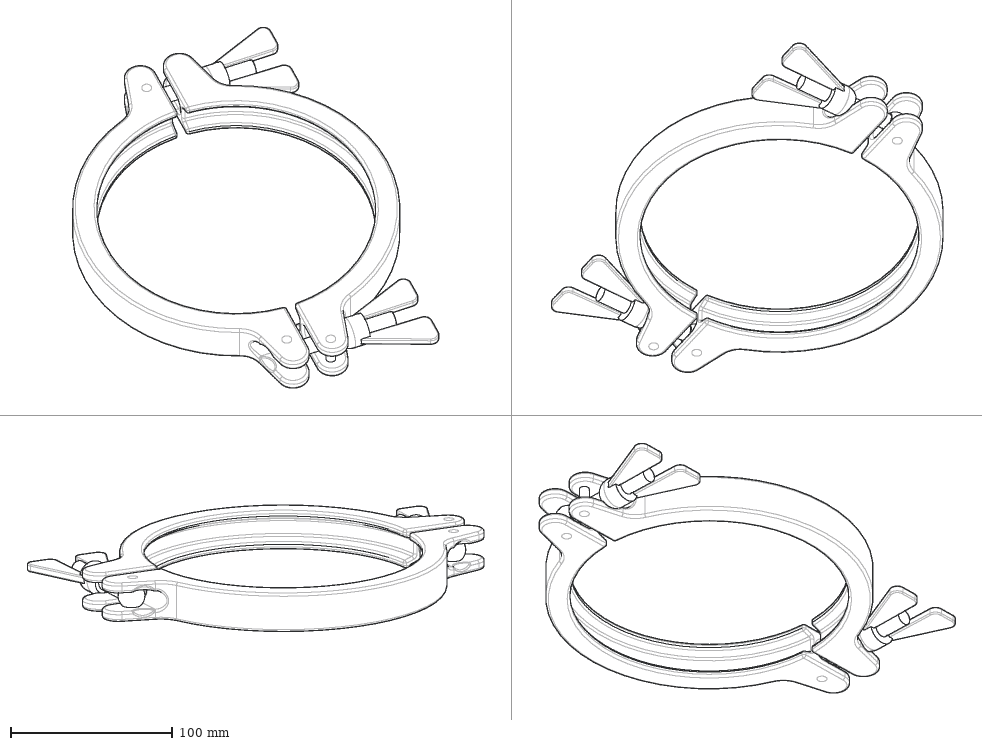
import cadquery as cq
import math

overall_width = 278.8

height = 24.8
outer_radius = 101.5
inner_radius = 86.5
gap = 6.0
edge_radius = 1.7

groove_depth = 7.3
groove_mouth = 16.0
groove_slope = math.radians(20)

lug_x = 122.5
lug_radius = 10.0
lug_slope = math.radians(15)
neck_radius = 15.0
slot_height = 12.0
slot_end_x = 98.0
seat_edge_radius = 1.0

bolt_x = 112.5
rod_radius = 5.0
rod_end_y = 58.5
ball_radius = 8.5
ball_y = -11.5
ball_flat_y = -5.3

nut_radius = 9.8
nut_nose_y = 22.5
nut_dome_y = 29.0
nut_top_y = 39.0
wing_thickness = 4.7
wing_top_y = 79.5
wing_root_y = 32.3
wing_root_x = 9.5
wing_inner_top_x = 6.7
wing_inner_root_x = 6.0
wing_corner_radius = 5.0
wing_edge_radius = 0.8
wing_reach = overall_width / 2 - bolt_x

pin_radius = 3.0
pin_length = 25.5
stop_pin_y = 12.3

end_y = gap / 2
lug_y = end_y + lug_radius
both_sides = (-1, 1)


def half_outline():
    """Outline of the half on the +Y side: C-shaped arc with a rounded lug at each end."""
    normal_x = math.sin(lug_slope)
    normal_y = math.cos(lug_slope)
    slope_offset = normal_x * lug_x + normal_y * lug_y + lug_radius

    across = slope_offset + neck_radius
    along = math.sqrt((outer_radius + neck_radius) ** 2 - across**2)
    neck_x = across * normal_x + along * normal_y
    neck_y = across * normal_y - along * normal_x

    ring_share = outer_radius / (outer_radius + neck_radius)
    ring_point = (neck_x * ring_share, neck_y * ring_share)
    neck_end = (neck_x - neck_radius * normal_x, neck_y - neck_radius * normal_y)
    middle_x = (ring_point[0] + neck_end[0]) / 2 - neck_x
    middle_y = (ring_point[1] + neck_end[1]) / 2 - neck_y
    middle_scale = neck_radius / math.hypot(middle_x, middle_y)
    neck_middle = (neck_x + middle_x * middle_scale, neck_y + middle_y * middle_scale)
    tip_start = (lug_x + lug_radius * normal_x, lug_y + lug_radius * normal_y)
    tip_middle = (lug_x + lug_radius, lug_y)
    bore_x = math.sqrt(inner_radius**2 - end_y**2)

    def left(point):
        return (-point[0], point[1])

    return (
        cq.Workplane("XY", origin=(0, 0, -height / 2))
        .moveTo(bore_x, end_y)
        .lineTo(lug_x, end_y)
        .threePointArc(tip_middle, tip_start)
        .lineTo(*neck_end)
        .threePointArc(neck_middle, ring_point)
        .threePointArc((0, outer_radius), left(ring_point))
        .threePointArc(left(neck_middle), left(neck_end))
        .lineTo(*left(tip_start))
        .threePointArc(left(tip_middle), (-lug_x, end_y))
        .lineTo(-bore_x, end_y)
        .threePointArc((0, inner_radius), (bore_x, end_y))
        .close()
    )


def groove_cutter():
    """Ring with sloping flanks that cuts the V groove into the bore."""
    floor_radius = inner_radius + groove_depth
    back = inner_radius - groove_depth
    flank_rise = groove_depth * math.tan(groove_slope)
    floor_half = groove_mouth / 2 - flank_rise
    back_half = groove_mouth / 2 + flank_rise
    ring = (
        cq.Workplane("XZ")
        .polyline([
            (back, -back_half),
            (floor_radius, -floor_half),
            (floor_radius, floor_half),
            (back, back_half),
        ])
        .close()
        .revolve(360, (0, 0), (0, 1))
    )
    return ring.edges(cq.selectors.RadiusNthSelector(-1)).fillet(edge_radius)


def slot_cutter(side):
    """Slot along Y, open at the lug's tip and round at its inner end."""
    round_x = slot_end_x + slot_height / 2
    outer_round_x = lug_x + lug_radius + slot_height
    return (
        cq.Workplane("XZ")
        .center(side * (round_x + outer_round_x) / 2, 0)
        .slot2D(outer_round_x - round_x + slot_height, slot_height)
        .extrude(-outer_radius)
    )


def seat_cutter(side):
    """Ball that leaves a spherical seat for the nut's nose in both cheeks of a lug."""
    return cq.Workplane("XY", origin=(side * bolt_x, nut_dome_y, 0)).sphere(nut_radius)


def clamp_half():
    """Half ring on the +Y side with a slotted lug at each end and all its edges rounded."""
    half = half_outline().extrude(height).cut(groove_cutter())
    for side in both_sides:
        half = half.cut(slot_cutter(side))

    face_rims = half.faces("<Z or >Z or <Y").edges()
    bore_rims = half.edges("%CIRCLE").edges(cq.selectors.RadiusNthSelector(-2))
    slot_end_rims = half.edges("%BSPLINE").edges("<X or >X")
    half = face_rims.add(bore_rims).add(slot_end_rims).fillet(edge_radius)

    for side in both_sides:
        half = half.cut(seat_cutter(side))
    return half.faces("%SPHERE").edges().fillet(seat_edge_radius)


def cross_pin(x, y):
    """Pin along Z through both cheeks of a lug, its ends domed above the flat faces."""
    dome_height = (pin_length - height) / 2
    sphere_radius = (pin_radius**2 + dome_height**2) / (2 * dome_height)
    shank = cq.Workplane("XY", origin=(x, y, -pin_length / 2)).circle(pin_radius).extrude(pin_length)
    for end in both_sides:
        dome_z = end * (pin_length / 2 - sphere_radius)
        shank = shank.intersect(cq.Workplane("XY", origin=(x, y, dome_z)).sphere(sphere_radius))
    return shank


def swing_bolt(side):
    """Threaded rod with a ball end, flat where the rod leaves it."""
    ball = cq.Workplane("XY", origin=(side * bolt_x, ball_y, 0)).sphere(ball_radius)
    flat = (
        cq.Workplane("XZ", origin=(side * bolt_x, ball_flat_y, 0))
        .circle(ball_radius)
        .extrude(-ball_radius)
    )
    rod = (
        cq.Workplane("XZ", origin=(side * bolt_x, ball_y, 0))
        .circle(rod_radius)
        .extrude(ball_y - rod_end_y)
    )
    return ball.cut(flat).union(rod)


def wing():
    """Wing on the +X side of a nut whose axis is X = 0."""
    corner_x = wing_reach - wing_corner_radius
    corner_y = wing_top_y - wing_corner_radius
    run_x = corner_x - wing_root_x
    run_y = corner_y - wing_root_y
    tilt = math.atan2(run_x, run_y) + math.asin(wing_corner_radius / math.hypot(run_x, run_y))
    wing_top_x = wing_root_x + (wing_top_y - wing_root_y) * math.tan(tilt)
    return (
        cq.Workplane("XY", origin=(0, 0, -wing_thickness / 2))
        .polyline([
            (wing_inner_root_x, wing_root_y),
            (wing_root_x, wing_root_y),
            (wing_top_x, wing_top_y),
            (wing_inner_top_x, wing_top_y),
        ])
        .close()
        .extrude(wing_thickness)
        .edges("|Z and >Y")
        .fillet(wing_corner_radius)
        .faces("<Z or >Z")
        .edges()
        .fillet(wing_edge_radius)
    )


def wing_nut(side):
    """Barrel with a spherical nose, cut flat at its end, and two wings."""
    nose_end_radius = math.sqrt(nut_radius**2 - (nut_dome_y - nut_nose_y) ** 2)
    middle_angle = math.acos(nose_end_radius / nut_radius) / 2
    nose_middle = (
        nut_radius * math.cos(middle_angle),
        nut_dome_y - nut_radius * math.sin(middle_angle),
    )
    barrel = (
        cq.Workplane("XY")
        .moveTo(0, nut_nose_y)
        .lineTo(nose_end_radius, nut_nose_y)
        .threePointArc(nose_middle, (nut_radius, nut_dome_y))
        .lineTo(nut_radius, nut_top_y)
        .lineTo(0, nut_top_y)
        .close()
        .revolve(360, (0, 0), (0, 1))
    )
    nut = barrel.union(wing()).union(wing().mirror("YZ"))
    return nut.translate((side * bolt_x, 0, 0))


upper_half = clamp_half().union(cross_pin(lug_x, stop_pin_y))

lower_half = clamp_half().mirror("XZ")
for side in both_sides:
    lower_half = (
        lower_half.union(cross_pin(side * bolt_x, -lug_y))
        .union(swing_bolt(side))
        .union(wing_nut(side))
    )

result = cq.Compound.makeCompound([upper_half.val(), lower_half.val()])